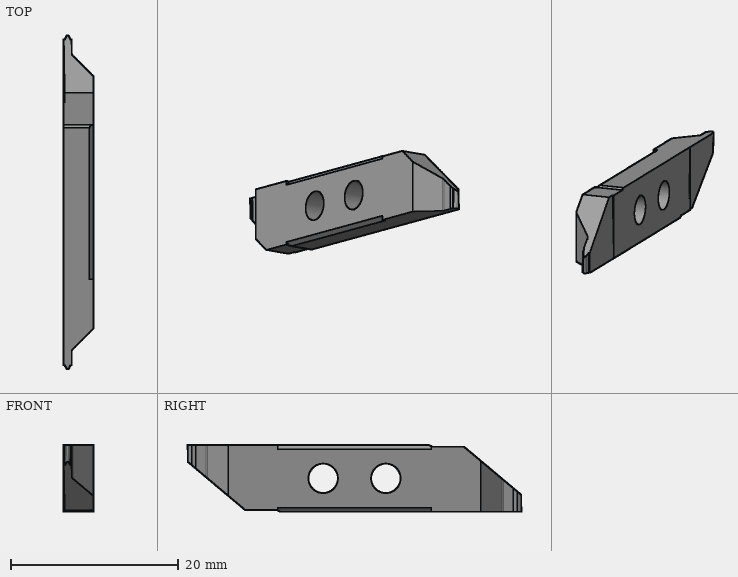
import cadquery as cq
import math


thickness = 3.6
length = 40.0
height = 8.0
half_length = length / 2
half_height = height / 2

hole_diameter = 3.5
hole_spacing = 7.5

slope_angle = 40.0
tip_height = 2.0
relief_depth = 0.2
relief_ramp_start = 8.9
relief_ramp_end = 9.3

neck_width = 1.0
neck_start = 17.7
neck_end = 19.0
shoulder_angle = 45.0
neck_fillet = 0.3

crown_root = 18.5
nib_length = 0.5
nose_radius = 0.18
nib_side_angle = 28.0

clearance_angle = 1.2
clearance_start = 12.0

edge_bevel = 0.5
edge_bevel_half_length = 9.2


def opposite_end(shape):
    """The same shape turned half a turn about X."""
    return shape.rotate((0, 0, 0), (1, 0, 0), 180)


def side_profile_body():
    relief_z = half_height - relief_depth
    tip_z = -half_height + tip_height
    slope_run = (relief_z - tip_z) / math.tan(math.radians(slope_angle))
    end_points = [
        (half_length, -half_height),
        (half_length, tip_z),
        (half_length - slope_run, relief_z),
        (relief_ramp_end, relief_z),
        (relief_ramp_start, half_height),
    ]
    outline = end_points + [(-y, -z) for y, z in end_points]
    return cq.Workplane("YZ").polyline(outline).close().extrude(thickness)


def shank_with_necks():
    shoulder_run = (thickness - neck_width) / math.tan(math.radians(shoulder_angle))
    end_points = [
        (thickness, neck_start - shoulder_run),
        (neck_width, neck_start),
        (neck_width, neck_end),
        (0, neck_end),
    ]
    outline = end_points + [(x, -y) for x, y in reversed(end_points)]
    body = cq.Workplane("XY").polyline(outline).close().extrude(half_height, both=True)
    inner_corners = cq.selectors.BoxSelector(
        (neck_width - neck_fillet, -neck_start - neck_fillet, -half_height),
        (neck_width + neck_fillet, neck_start + neck_fillet, half_height),
    )
    return body.edges(inner_corners).edges("|Z").fillet(neck_fillet)


def side_clearance_cutter():
    """Wedge that leans the -X face of the +Y end, from nothing at the bottom edge."""
    lean = height * math.tan(math.radians(clearance_angle))
    section = [
        (0, -half_height),
        (0, half_height),
        (lean, half_height),
    ]
    profile = cq.Workplane("XZ", origin=(0, clearance_start, 0)).polyline(section).close()
    return profile.extrude(clearance_start - half_length)


def crown_body():
    """Round-nosed crown at the +Y end, widest at its cutting edge on the bottom."""
    side_angle = math.radians(nib_side_angle)
    nib_base_y = half_length - nib_length
    nose_half_width = nose_radius * math.cos(side_angle)
    nose_depth = nose_radius * (1 - math.sin(side_angle))
    nose_base_y = half_length - nose_depth
    nib_half_width = nose_half_width + (nib_length - nose_depth) * math.tan(side_angle)
    middle = neck_width / 2
    outline = (
        cq.Workplane("XY", origin=(0, 0, -half_height))
        .moveTo(0, crown_root)
        .lineTo(0, nib_base_y)
        .lineTo(middle - nib_half_width, nib_base_y)
        .lineTo(middle - nose_half_width, nose_base_y)
        .threePointArc((middle, half_length), (middle + nose_half_width, nose_base_y))
        .lineTo(middle + nib_half_width, nib_base_y)
        .lineTo(neck_width, nib_base_y)
        .lineTo(neck_width, crown_root)
        .close()
    )
    return outline.extrude(height, taper=clearance_angle)


def edge_bevel_cutter():
    section = [
        (thickness, half_height),
        (thickness - edge_bevel, half_height),
        (thickness, half_height - edge_bevel),
    ]
    profile = cq.Workplane("XZ").polyline(section).close()
    return profile.extrude(edge_bevel_half_length, both=True)


def hole_cutter():
    centres = [(-hole_spacing / 2, 0), (hole_spacing / 2, 0)]
    return cq.Workplane("YZ").pushPoints(centres).circle(hole_diameter / 2).extrude(thickness)


insert = shank_with_necks()

for cutter in (side_clearance_cutter(), edge_bevel_cutter()):
    insert = insert.cut(cutter).cut(opposite_end(cutter))

crown = crown_body()
insert = insert.union(crown).union(opposite_end(crown))

result = insert.intersect(side_profile_body()).cut(hole_cutter())